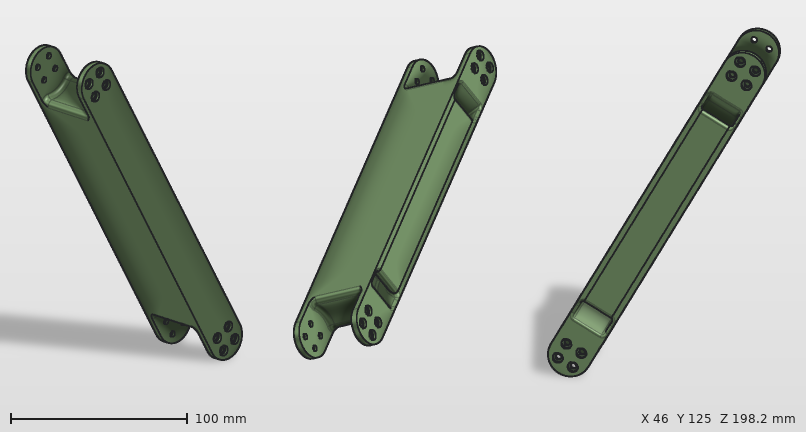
import cadquery as cq
import math

overall_height = 198.2
overall_width = 46.0
lean_angle = 30.0
end_radius = 12.5
pivot_spacing = (overall_height - 2 * end_radius) / math.cos(math.radians(lean_angle))
half_spacing = pivot_spacing / 2
half_width = overall_width / 2

arm_thickness = 4.0
fork_gap = overall_width - 2 * arm_thickness
clearance_radius = 18.5
web_round = 3.0

hole_pitch = 10.0
hole_diameter = 3.4
counterbore_diameter = 6.0
counterbore_depth = 2.0

mouth_offset = 20.0
mouth_length = 10.0
mouth_round = 2.0
duct_slope = 53.1
duct_width = 20.6
duct_corner_radius = 1.29
duct_depth = 21.2
floor_bend_radius = 23.8
duct_height = mouth_length * math.sin(math.radians(duct_slope))

cover_width = duct_width - 2 * duct_corner_radius
cover_thickness = duct_depth - duct_height
cover_bend_radius = floor_bend_radius - duct_height

overshoot = 4.0


def bar():
    """Round-ended bar as wide as the whole link."""
    length = pivot_spacing + 2 * end_radius
    return cq.Workplane("YZ").slot2D(length, 2 * end_radius, 90).extrude(half_width, both=True)


def fork_cutter():
    """Space between the +Z arms: a clearance cylinder round the pivot, flared at the bar faces."""
    flare_distance = clearance_radius + web_round
    flare_y = end_radius - web_round
    flare_z = -math.sqrt(flare_distance**2 - flare_y**2)
    touch_y = flare_y * clearance_radius / flare_distance
    touch_z = flare_z * clearance_radius / flare_distance
    middle_angle = math.atan2(-flare_z, -flare_y) / 2
    middle_y = flare_y + web_round * math.cos(middle_angle)
    middle_z = flare_z + web_round * math.sin(middle_angle)
    outer_y = end_radius + overshoot
    top_z = end_radius + overshoot
    cutter = (
        cq.Workplane("YZ")
        .moveTo(end_radius, flare_z)
        .threePointArc((middle_y, middle_z), (touch_y, touch_z))
        .threePointArc((0, -clearance_radius), (-touch_y, touch_z))
        .threePointArc((-middle_y, middle_z), (-end_radius, flare_z))
        .lineTo(-outer_y, flare_z)
        .lineTo(-outer_y, top_z)
        .lineTo(outer_y, top_z)
        .lineTo(outer_y, flare_z)
        .close()
        .extrude(fork_gap / 2, both=True)
    )
    cutter = cutter.faces("<X or >X").edges("%CIRCLE").fillet(web_round)
    return cutter.translate((0, 0, half_spacing))


def screw_holes():
    """Four counterbored holes round each pivot, through both arms."""
    offset = hole_pitch / 2
    centres = [
        (y, pivot_z + z)
        for pivot_z in (-half_spacing, half_spacing)
        for y in (-offset, offset)
        for z in (-offset, offset)
    ]
    plan = cq.Workplane("YZ").pushPoints(centres)
    holes = plan.circle(hole_diameter / 2).extrude(half_width + overshoot, both=True)
    for side in (-1, 1):
        bore_floor = side * (half_width - counterbore_depth)
        bore_plan = cq.Workplane("YZ", origin=(bore_floor, 0, 0)).pushPoints(centres)
        bores = bore_plan.circle(counterbore_diameter / 2).extrude(side * (counterbore_depth + overshoot))
        holes = holes.union(bores)
    return holes


def sloped_prism(surface_end_z, depth, width, bend_radius):
    """Prism sunk in the -X side, its ends sloping inward from +-surface_end_z, inner corners rounded."""
    slope = math.tan(math.radians(duct_slope))
    outer_x = -half_width - overshoot
    inner_x = -half_width + depth
    outer_z = surface_end_z + overshoot / slope
    inner_z = surface_end_z - depth / slope
    prism = (
        cq.Workplane("XZ")
        .moveTo(outer_x, outer_z)
        .lineTo(inner_x, inner_z)
        .lineTo(inner_x, -inner_z)
        .lineTo(outer_x, -outer_z)
        .close()
        .extrude(width / 2, both=True)
    )
    return prism.edges("|Y and >X").fillet(bend_radius)


def cover_region(width):
    """Space between the duct and the -X side, from mouth to mouth."""
    surface_end_z = half_spacing - mouth_offset - mouth_length
    return sloped_prism(surface_end_z, cover_thickness, width, cover_bend_radius)


def duct():
    """Cable duct of constant height with rounded corners along its whole length."""
    envelope = sloped_prism(half_spacing - mouth_offset, duct_depth, duct_width, floor_bend_radius)
    passage = envelope.cut(cover_region(duct_width + overshoot))
    return passage.faces("<Y or >Y").edges("not(<X)").fillet(duct_corner_radius)


def round_mouths(body):
    """Round the rims of both duct mouths on the -X side."""
    margin = 0.2
    reach_y = duct_width / 2 + margin
    reach_z = half_spacing - mouth_offset + margin
    rims = cq.selectors.BoxSelector(
        (-half_width - margin, -reach_y, -reach_z),
        (-half_width + margin, reach_y, reach_z),
        boundingbox=True,
    )
    return body.edges(rims).fillet(mouth_round)


def whole_link():
    """Housing and cover in one piece, before they are split."""
    upper_gap = fork_cutter()
    lower_gap = upper_gap.mirror("XY")
    body = bar().cut(upper_gap).cut(lower_gap).cut(screw_holes()).cut(duct())
    return round_mouths(body)


def lean(body):
    """Tip the upright link so that its upper end moves toward -Y."""
    return body.rotate((0, 0, 0), (1, 0, 0), lean_angle)


link = whole_link()
housing = lean(link.cut(cover_region(cover_width)))
cover = lean(link.intersect(cover_region(cover_width)))

result = cq.Compound.makeCompound([*housing.solids().vals(), *cover.solids().vals()])